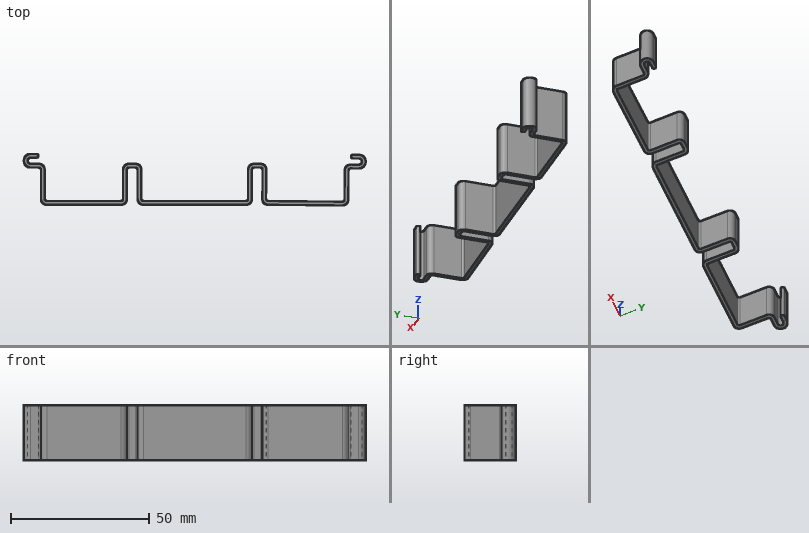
import cadquery as cq
import math

STRIP_HEIGHT = 20.0
THICKNESS = 1.45
BEND_RADIUS = 1.45

MIDDLE_BAY_WIDTH = 40.0
SIDE_BAY_WIDTH = 29.75
RIB_WIDTH = 5.25
BAY_DEPTH = 13.45
HOOK_REACH = 6.17
HOOK_RISE = 3.6
HOOK_RADIUS = HOOK_RISE / 2
LIP_LENGTH = 3.9
RIGHT_BAY_TILT = -0.52
MIN_STRAIGHT = 1e-6

FLOOR_Y = 0.0
CREST_Y = FLOOR_Y + BAY_DEPTH
LIP_Y = CREST_Y + HOOK_RISE
INNER_LEG_X = MIDDLE_BAY_WIDTH / 2
RIB_LEG_X = INNER_LEG_X + RIB_WIDTH
OUTER_LEG_X = RIB_LEG_X + SIDE_BAY_WIDTH
HOOK_X = OUTER_LEG_X + HOOK_REACH
TIP_X = HOOK_X - LIP_LENGTH


def side_corners():
    """Centreline corners (x, y, bend radius) of the right half, from the middle bay outward."""
    return [
        (INNER_LEG_X, FLOOR_Y, BEND_RADIUS),
        (INNER_LEG_X, CREST_Y, BEND_RADIUS),
        (RIB_LEG_X, CREST_Y, BEND_RADIUS),
        (RIB_LEG_X, FLOOR_Y, BEND_RADIUS),
        (OUTER_LEG_X, FLOOR_Y, BEND_RADIUS),
        (OUTER_LEG_X, CREST_Y, BEND_RADIUS),
        (HOOK_X, CREST_Y, HOOK_RADIUS),
        (HOOK_X, LIP_Y, HOOK_RADIUS),
        (TIP_X, LIP_Y, 0.0),
    ]


def mirrored(corners):
    """Reflect corners across X = 0 and reverse their order."""
    return [(-x, y, radius) for x, y, radius in reversed(corners)]


def tilted(corners):
    """Rotate the right bay and its hook about the outer crest corner of the right rib."""
    pivot_x = RIB_LEG_X
    pivot_y = CREST_Y
    cos_tilt = math.cos(math.radians(RIGHT_BAY_TILT))
    sin_tilt = math.sin(math.radians(RIGHT_BAY_TILT))
    moved = []
    for x, y, radius in corners:
        if x >= RIB_LEG_X:
            dx = x - pivot_x
            dy = y - pivot_y
            x = pivot_x + dx * cos_tilt - dy * sin_tilt
            y = pivot_y + dx * sin_tilt + dy * cos_tilt
        moved.append((x, y, radius))
    return moved


def rounded_path(corners):
    """Open wire through the corners, with a tangent arc at each inner corner."""
    path = cq.Workplane("XY").moveTo(*corners[0][:2])
    arc_end_before = cq.Vector(*corners[0][:2])
    for before, corner, after in zip(corners, corners[1:], corners[2:]):
        point = cq.Vector(*corner[:2])
        back = (cq.Vector(*before[:2]) - point).normalized()
        ahead = (cq.Vector(*after[:2]) - point).normalized()
        half_angle = back.getAngle(ahead) / 2
        radius = corner[2]
        setback = radius / math.tan(half_angle)
        to_middle = radius / math.sin(half_angle) - radius
        arc_start = point + back * setback
        arc_middle = point + (back + ahead).normalized() * to_middle
        arc_end = point + ahead * setback
        if (arc_start - arc_end_before).Length > MIN_STRAIGHT:
            path = path.lineTo(arc_start.x, arc_start.y)
        arc_end_before = arc_end
        path = path.threePointArc((arc_middle.x, arc_middle.y), (arc_end.x, arc_end.y))
    return path.lineTo(*corners[-1][:2]).wire()


right_half = side_corners()
centreline = rounded_path(mirrored(right_half) + tilted(right_half))
result = centreline.offset2D(THICKNESS / 2, "arc").extrude(STRIP_HEIGHT)